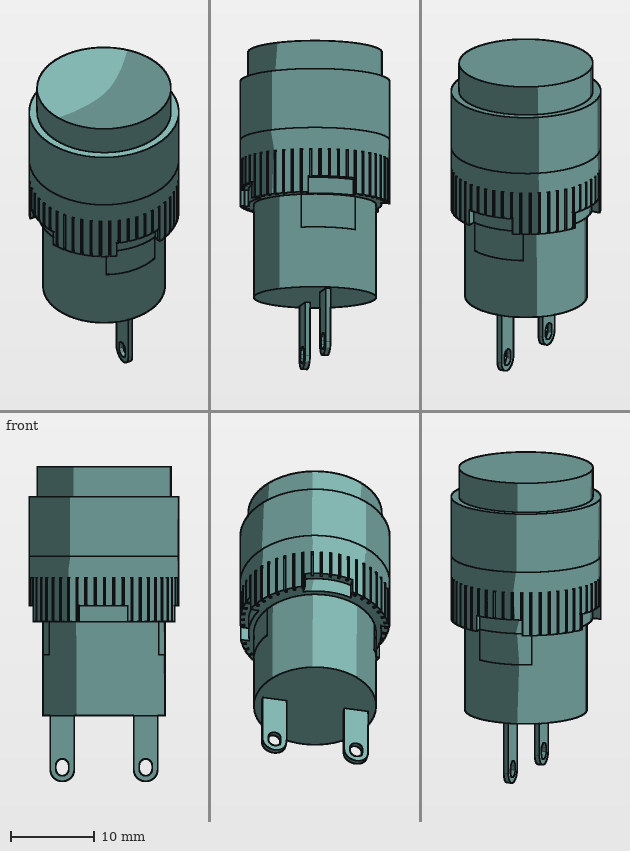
import cadquery as cq
import math

TOTAL_HEIGHT = 37.8
CAP_HEIGHT = 3.6
BEZEL_HEIGHT = 7.2
RING_HEIGHT = 7.82
BARREL_LENGTH = 11.3

CAP_BOTTOM = TOTAL_HEIGHT - CAP_HEIGHT
BEZEL_BOTTOM = CAP_BOTTOM - BEZEL_HEIGHT
RING_BOTTOM = BEZEL_BOTTOM - RING_HEIGHT
BARREL_BOTTOM = RING_BOTTOM - BARREL_LENGTH

CAP_DIAMETER = 16.1
BEZEL_DIAMETER = 18.0
BARREL_DIAMETER = 14.7
NOTCH_FLOOR_DIAMETER = 16.0

DISH_DEPTH = 0.6

SLOT_COUNT = 50
SLOT_WIDTH = 0.23
SLOT_DEPTH = 0.5
SLOT_HEIGHT = 5.25
FIRST_SLOT_ANGLE = -89.6

NOTCH_COUNT = 4
NOTCH_WIDTH = 5.82
NOTCH_HEIGHT = 1.93
NOTCH_OFFSET = 0.08

KEY_WIDTH = 6.7
KEY_LENGTH = 4.0

TERMINAL_SPACING = 10.0
TERMINAL_WIDTH = 2.9
TERMINAL_THICKNESS = 0.6
EYE_WIDTH = 1.5
EYE_HEIGHT = 2.0


def cylinder(diameter, bottom, top):
    return cq.Workplane("XY").workplane(offset=bottom).circle(diameter / 2).extrude(top - bottom)


def block(x_size, y_size, bottom, top):
    return cq.Workplane("XY").workplane(offset=bottom).rect(x_size, y_size).extrude(top - bottom)


def make_cap():
    """Disc seated on the bezel, with a shallow spherical dish across its whole top."""
    radius = CAP_DIAMETER / 2
    sphere_radius = (radius**2 + DISH_DEPTH**2) / (2 * DISH_DEPTH)
    half_way = radius / 2
    half_way_height = (
        TOTAL_HEIGHT - DISH_DEPTH + sphere_radius - math.sqrt(sphere_radius**2 - half_way**2)
    )
    return (
        cq.Workplane("XZ")
        .moveTo(0, CAP_BOTTOM)
        .lineTo(radius, CAP_BOTTOM)
        .lineTo(radius, TOTAL_HEIGHT)
        .threePointArc((half_way, half_way_height), (0, TOTAL_HEIGHT - DISH_DEPTH))
        .close()
        .revolve(360, (0, 0, 0), (0, 1, 0))
    )


def make_keys():
    """Two circular segments, flush with the barrel and running up inside the ring."""
    key_bottom = RING_BOTTOM - KEY_LENGTH
    flat_distance = math.sqrt((BARREL_DIAMETER / 2) ** 2 - (KEY_WIDTH / 2) ** 2)
    core = block(2 * flat_distance, BARREL_DIAMETER, key_bottom, BEZEL_BOTTOM)
    return cylinder(BARREL_DIAMETER, key_bottom, BEZEL_BOTTOM).cut(core)


def make_ring():
    """Slotted ring around the barrel, with shallow rim notches and two keys."""
    outer_radius = BEZEL_DIAMETER / 2
    ring = cylinder(BEZEL_DIAMETER, RING_BOTTOM, BEZEL_BOTTOM)

    slots = (
        cq.Workplane("XY")
        .workplane(offset=RING_BOTTOM)
        .polarArray(outer_radius, FIRST_SLOT_ANGLE, 360, SLOT_COUNT)
        .rect(2 * SLOT_DEPTH, SLOT_WIDTH)
        .extrude(SLOT_HEIGHT)
    )
    ring = ring.cut(slots)

    notch_top = RING_BOTTOM + NOTCH_HEIGHT
    notch = (
        block(NOTCH_WIDTH, BEZEL_DIAMETER, RING_BOTTOM, notch_top)
        .translate((-NOTCH_OFFSET, -BEZEL_DIAMETER / 2, 0))
        .cut(cylinder(NOTCH_FLOOR_DIAMETER, RING_BOTTOM, notch_top))
    )
    for index in range(NOTCH_COUNT):
        ring = ring.cut(notch.rotate((0, 0, 0), (0, 0, 1), index * 360 / NOTCH_COUNT))

    bore = cylinder(BARREL_DIAMETER, RING_BOTTOM, BEZEL_BOTTOM)
    return ring.cut(bore).union(make_keys())


def terminal_blade():
    """Flat blade with a rounded tip and an elongated eye above the tip centre."""
    tip_radius = TERMINAL_WIDTH / 2
    eye_centre_height = tip_radius + (EYE_HEIGHT - EYE_WIDTH) / 2
    return (
        cq.Workplane("XZ")
        .moveTo(-tip_radius, BARREL_BOTTOM)
        .lineTo(-tip_radius, tip_radius)
        .threePointArc((0, 0), (tip_radius, tip_radius))
        .lineTo(tip_radius, BARREL_BOTTOM)
        .close()
        .moveTo(0, eye_centre_height)
        .slot2D(EYE_HEIGHT, EYE_WIDTH, 90)
        .extrude(TERMINAL_THICKNESS / 2, both=True)
    )


def make_housing():
    """Bezel, barrel with two flats, and the two terminals in one piece."""
    bezel = cylinder(BEZEL_DIAMETER, BEZEL_BOTTOM, CAP_BOTTOM)
    barrel = cylinder(BARREL_DIAMETER, BARREL_BOTTOM, BEZEL_BOTTOM).cut(make_keys())
    housing = bezel.union(barrel)
    for side in (-1, 1):
        housing = housing.union(terminal_blade().translate((side * TERMINAL_SPACING / 2, 0, 0)))
    return housing


cap = make_cap()
ring = make_ring()
housing = make_housing()

result = cq.Compound.makeCompound([body.solids().val() for body in (cap, ring, housing)])